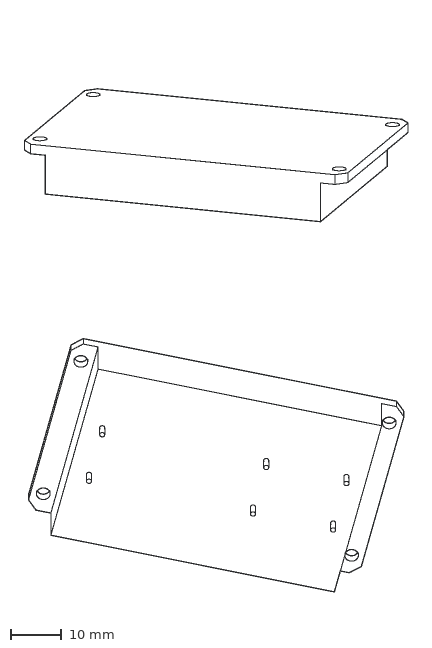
import cadquery as cq

plate_length = 67.5
plate_width = 40.2
plate_thickness = 2.0
corner_chamfer = 2.0

hole_diameter = 2.7
hole_spacing_x = 62.5
hole_spacing_y = 32.0

body_length = 57.5
body_width = plate_width
body_height = 10.0

pin_diameter = 1.0
pin_length = 2.5
outer_pin_x = 24.75
inner_pin_x = 8.5
pin_columns_x = (-outer_pin_x, inner_pin_x, outer_pin_x)
pin_rows_y = (4.4, -6.85)


def make_plate():
    """Flat plate with four chamfered corners."""
    return (
        cq.Workplane("XY")
        .workplane(offset=body_height - plate_thickness)
        .rect(plate_length, plate_width)
        .extrude(plate_thickness)
        .edges("|Z")
        .chamfer(corner_chamfer)
    )


def make_body():
    """Rectangular block standing on Z = 0."""
    return cq.Workplane("XY").rect(body_length, body_width).extrude(body_height)


def make_mounting_holes():
    """Cutters for the through holes near the plate corners."""
    return (
        cq.Workplane("XY")
        .workplane(offset=body_height - plate_thickness)
        .rect(hole_spacing_x, hole_spacing_y, forConstruction=True)
        .vertices()
        .circle(hole_diameter / 2)
        .extrude(plate_thickness)
    )


def make_pins():
    """Round pins hanging from the underside of the body."""
    positions = [(x, y) for x in pin_columns_x for y in pin_rows_y]
    return (
        cq.Workplane("XY")
        .pushPoints(positions)
        .circle(pin_diameter / 2)
        .extrude(-pin_length)
    )


drilled_plate = make_plate().cut(make_mounting_holes())
result = drilled_plate.union(make_body()).union(make_pins())